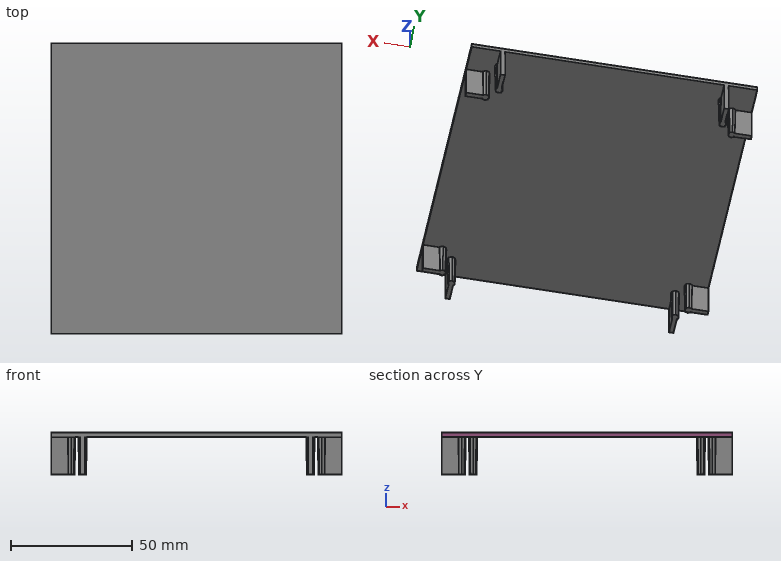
import cadquery as cq

plate_side = 120.0
plate_thickness = 2.0
total_height = 17.5

rib_thickness = 1.9
rib_offset = 13.0
post_distance = 8.25

post_sides = 8
post_foot_diameter = 3.0
post_root_diameter = 3.6

leg_height = total_height - plate_thickness
half_side = plate_side / 2


def make_plate():
    """Square plate whose underside rests on the tops of the legs."""
    return (
        cq.Workplane("XY", origin=(0, 0, leg_height))
        .rect(plate_side, plate_side)
        .extrude(plate_thickness)
    )


def make_leg():
    """Rib running inward from the -X edge near the (-X, -Y) corner, ending in a tapered post."""
    leg_y = rib_offset - half_side
    rib = (
        cq.Workplane("XY", origin=(-half_side, leg_y, 0))
        .box(post_distance, rib_thickness, leg_height, centered=(False, True, False))
    )
    post = (
        cq.Workplane("XY", origin=(post_distance - half_side, leg_y, 0))
        .polygon(post_sides, post_foot_diameter)
        .workplane(offset=leg_height)
        .polygon(post_sides, post_root_diameter)
        .loft()
    )
    return rib.union(post)


leg = make_leg()
mirrored_leg = leg.mirror("XZ")
result = make_plate()
for angle in (0, 90, 180, 270):
    for side_leg in (leg, mirrored_leg):
        result = result.union(side_leg.rotate((0, 0, 0), (0, 0, 1), angle))